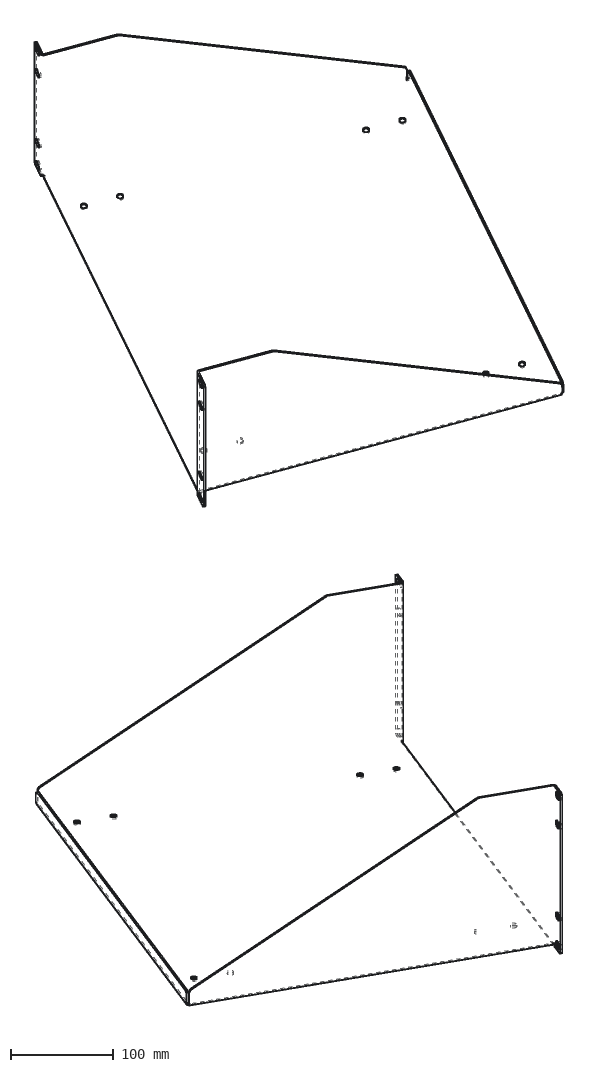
import cadquery as cq

OVERALL_WIDTH = 482.8
DEPTH = 381.0
HEIGHT = 177.0

SHEET = 2.0
BEND_INNER = 1.0
BEND_OUTER = BEND_INNER + SHEET

BODY_WIDTH = 444.0
LIP_HEIGHT = 16.0
LIP_CORNER = 5.0
LIP_INSET = 2.0
FLOOR_FRONT = SHEET

WALL_TOP_DEPTH = 79.5
WALL_REAR_HEIGHT = 17.5
WALL_REAR_GAP = 0.25
WALL_REAR_CORNER = 6.0

EAR_CORNER = 3.0
EAR_SLOT_X = 232.5
EAR_SLOT_OFFSETS = (50.5, 82.5)
EAR_SLOT_LENGTH = 10.0
EAR_SLOT_WIDTH = 6.8

FLOOR_HOLE_DIAMETER = 6.5
FLOOR_HOLE_SPACING = 341.5
FLOOR_HOLE_ROWS = (25.5, 63.0, 318.0, 356.0)

HALF_BODY = BODY_WIDTH / 2
HALF_OVERALL = OVERALL_WIDTH / 2
WALL_REAR = DEPTH - SHEET - WALL_REAR_GAP


def block(x_min, x_max, y_min, y_max, z_min, z_max):
    """Axis-aligned box given by its limits."""
    box = cq.Workplane("XY").box(x_max - x_min, y_max - y_min, z_max - z_min, centered=False)
    return box.translate((x_min, y_min, z_min))


def bend(corner, first_leg, along, length):
    """Quarter-round sheet bend.

    corner is where the outer faces of the two sheets would meet, at one end of the bend.
    first_leg points from the corner along one sheet; the other sheet runs along (along x first_leg).
    along is the direction of the bend line.
    """
    plane = cq.Plane(origin=corner, xDir=first_leg, normal=along)
    return (
        cq.Workplane(plane)
        .moveTo(0, BEND_OUTER)
        .radiusArc((BEND_OUTER, 0), -BEND_OUTER)
        .lineTo(BEND_OUTER, SHEET)
        .radiusArc((SHEET, BEND_OUTER), BEND_INNER)
        .close()
        .extrude(length)
    )


def floor():
    """Floor plate with its pattern of mounting holes."""
    half_width = HALF_BODY - BEND_OUTER
    plate = block(-half_width, half_width, FLOOR_FRONT, DEPTH - BEND_OUTER, 0, SHEET)
    hole_x = FLOOR_HOLE_SPACING / 2
    holes = (
        cq.Workplane("XY")
        .pushPoints([(x, y) for x in (-hole_x, hole_x) for y in FLOOR_HOLE_ROWS])
        .circle(FLOOR_HOLE_DIAMETER / 2)
        .extrude(SHEET)
    )
    return plate.cut(holes)


def rear_lip():
    """Short lip turned up along the rear edge of the floor."""
    half_width = HALF_BODY - LIP_INSET
    lip = block(-half_width, half_width, DEPTH - SHEET, DEPTH, BEND_OUTER, LIP_HEIGHT)
    lip = lip.edges("|Y and >Z").fillet(LIP_CORNER)
    half_bend = HALF_BODY - BEND_OUTER
    return lip.union(bend((half_bend, DEPTH, 0), (0, -1, 0), (-1, 0, 0), 2 * half_bend))


def left_wall():
    """Sloping side wall and the bend that joins it to the floor."""
    wall = (
        cq.Workplane("YZ", origin=(-HALF_BODY, 0, 0))
        .moveTo(BEND_OUTER, BEND_OUTER)
        .lineTo(WALL_REAR, BEND_OUTER)
        .lineTo(WALL_REAR, WALL_REAR_HEIGHT)
        .lineTo(WALL_TOP_DEPTH, HEIGHT)
        .lineTo(BEND_OUTER, HEIGHT)
        .close()
        .extrude(SHEET)
    )
    corner_point = (-HALF_BODY + SHEET / 2, WALL_REAR, WALL_REAR_HEIGHT)
    rear_corner = cq.selectors.NearestToPointSelector(corner_point)
    wall = wall.edges(rear_corner).fillet(WALL_REAR_CORNER)
    floor_bend_length = DEPTH - BEND_OUTER - FLOOR_FRONT
    bend_corner = (-HALF_BODY, DEPTH - BEND_OUTER, 0)
    return wall.union(bend(bend_corner, (1, 0, 0), (0, -1, 0), floor_bend_length))


def left_ear():
    """Slotted rack ear turned outward from the front edge of the side wall."""
    inner_face = -HALF_BODY + SHEET
    ear = block(-HALF_OVERALL, inner_face - BEND_OUTER, 0, SHEET, 0, HEIGHT)
    ear = ear.edges("|Y and <X").fillet(EAR_CORNER)
    slot_heights = [HEIGHT / 2 + side * z for side in (-1, 1) for z in EAR_SLOT_OFFSETS]
    slots = (
        cq.Workplane("XZ")
        .pushPoints([(-EAR_SLOT_X, z) for z in slot_heights])
        .slot2D(EAR_SLOT_LENGTH, EAR_SLOT_WIDTH)
        .extrude(-SHEET)
    )
    ear_bend = bend((inner_face, 0, HEIGHT), (-1, 0, 0), (0, 0, -1), HEIGHT - BEND_OUTER)
    return ear.cut(slots).union(ear_bend)


left_side = left_wall().union(left_ear())
right_side = left_side.mirror("YZ")

result = floor().union(rear_lip()).union(left_side).union(right_side)